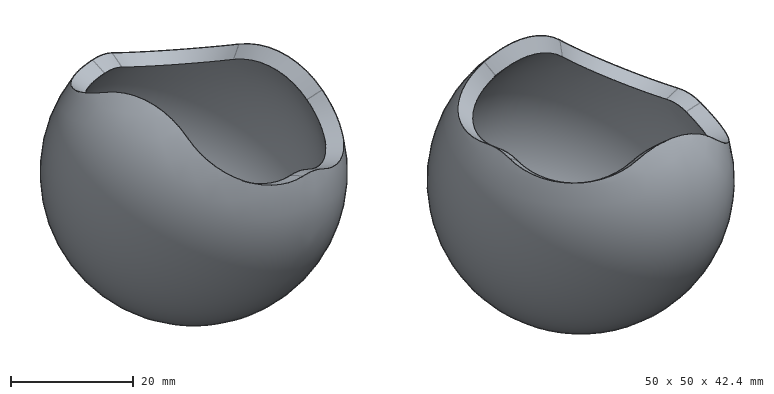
import cadquery as cq
import math

outer_radius = 25.0
wall = 3.0
inner_radius = outer_radius - wall

mouth_tilt = 15.6
mouth_half_length = 22.45
mouth_half_width = 17.95
corner_angle = 34.0

cutter_height = 30.0
cutter_start = 5.0

end_angle = math.degrees(math.acos(mouth_half_length / outer_radius))
side_angle = math.degrees(math.acos(mouth_half_width / outer_radius))

x_axis = cq.Vector(1, 0, 0)
y_axis = cq.Vector(0, 1, 0)
centre = cq.Vector(0, 0, 0)


def cone(axis, half_angle):
    """Cone with its tip at the ball centre."""
    base_radius = cutter_height * math.tan(math.radians(half_angle))
    return cq.Workplane(cq.Solid.makeCone(0, base_radius, cutter_height, centre, axis))


def tangent_direction(edge_axis, edge_angle, corner_axis):
    """Direction where a corner cone touches the cone about edge_axis."""
    across = (corner_axis - edge_axis * corner_axis.dot(edge_axis)).normalized()
    angle = math.radians(edge_angle)
    return edge_axis * math.cos(angle) + across * math.sin(angle)


def at_height(direction, height):
    """Plan position where a ray from the centre reaches a given height."""
    return (direction.x * height / direction.z, direction.y * height / direction.z)


corner_x = math.cos(math.radians(end_angle + corner_angle))
corner_y = math.cos(math.radians(side_angle + corner_angle))
corner_z = math.sqrt(1 - corner_x**2 - corner_y**2)
corner_axis = cq.Vector(corner_x, corner_y, corner_z)
end_touch = tangent_direction(x_axis, end_angle, corner_axis)
side_touch = tangent_direction(y_axis, side_angle, corner_axis)


def mouth_octagon(height):
    """Octagon through the eight tangent rays at a given height."""
    end_x, end_y = at_height(end_touch, height)
    side_x, side_y = at_height(side_touch, height)
    points = [
        (end_x, -end_y),
        (end_x, end_y),
        (side_x, side_y),
        (-side_x, side_y),
        (-end_x, end_y),
        (-end_x, -end_y),
        (-side_x, -side_y),
        (side_x, -side_y),
    ]
    outline = [cq.Vector(x, y, height) for x, y in points]
    return cq.Wire.makePolygon(outline, close=True)


def mouth_cutter():
    """Octagonal funnel with conical corners and inward-bowed edges."""
    octagons = [mouth_octagon(cutter_start), mouth_octagon(cutter_height)]
    cutter = cq.Workplane(cq.Solid.makeLoft(octagons, True))
    for sign in (1, -1):
        cutter = cutter.cut(cone(x_axis * sign, end_angle))
        cutter = cutter.cut(cone(y_axis * sign, side_angle))
    for x_sign in (1, -1):
        for y_sign in (1, -1):
            axis = cq.Vector(x_sign * corner_x, y_sign * corner_y, corner_z)
            cutter = cutter.union(cone(axis, corner_angle))
    return cutter.rotate((0, 0, 0), (0, 1, 0), mouth_tilt)


shell = cq.Workplane().sphere(outer_radius).cut(cq.Workplane().sphere(inner_radius))
result = shell.cut(mouth_cutter())